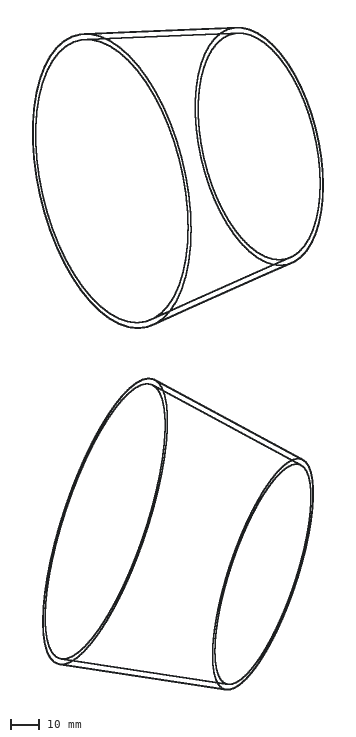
import cadquery as cq

wide_diameter = 104.0
narrow_diameter = 84.0
length = 60.0
wall = 2.0


def cone_frustum(wide_radius, narrow_radius):
    """Solid frustum about Y, from the wide end at Y = 0 to the narrow end at Y = length."""
    half_profile = [(0, 0), (wide_radius, 0), (narrow_radius, length), (0, length)]
    return cq.Workplane("XY").polyline(half_profile).close().revolve(360, (0, 0), (0, 1))


wide_radius = wide_diameter / 2
narrow_radius = narrow_diameter / 2

outer_cone = cone_frustum(wide_radius, narrow_radius)
bore = cone_frustum(wide_radius - wall, narrow_radius - wall)

result = outer_cone.cut(bore)